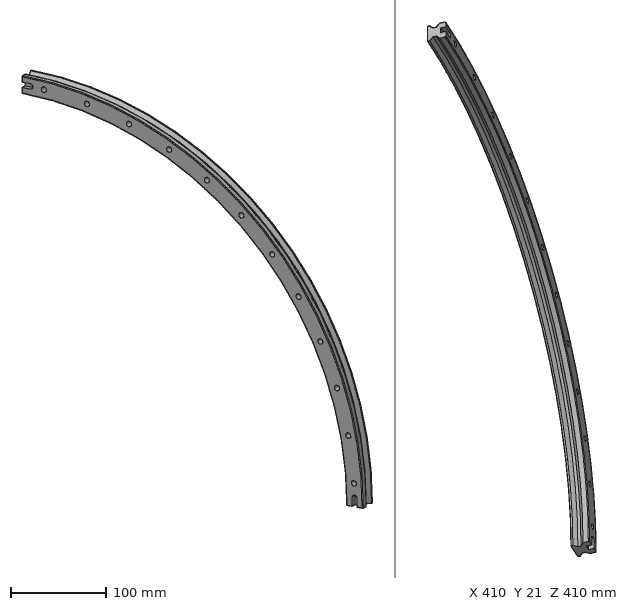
import cadquery as cq
import math

OUTER_RADIUS = 410.0
RAIL_WIDTH = 20.0
RAIL_HEIGHT = 21.0
SWEEP_ANGLE = 90.0
INNER_RADIUS = OUTER_RADIUS - RAIL_WIDTH
MID_RADIUS = OUTER_RADIUS - RAIL_WIDTH / 2
FRONT_CHAMFER = 1.0
BACK_CHAMFER = 0.5

GROOVE_CENTRE_Y = 12.75
GROOVE_FLAT = 3.5
GROOVE_DEPTH = 4.0
GROOVE_MOUTH = GROOVE_FLAT + 2 * GROOVE_DEPTH

HOLE_COUNT = 12
HOLE_DIAMETER = 6.0
HOLE_PITCH_ANGLE = SWEEP_ANGLE / HOLE_COUNT

SLOT_WIDTH = HOLE_DIAMETER
SLOT_LENGTH = 13.0
SLOT_DEPTH = 6.0


def side_points(edge_radius, inward):
    """Profile points of one grooved side, from the mounting face upwards.

    inward is the radial direction into the material: -1 or +1.
    """
    groove_radius = edge_radius + inward * GROOVE_DEPTH
    return [
        (edge_radius + inward * FRONT_CHAMFER, 0),
        (edge_radius, FRONT_CHAMFER),
        (edge_radius, GROOVE_CENTRE_Y - GROOVE_MOUTH / 2),
        (groove_radius, GROOVE_CENTRE_Y - GROOVE_FLAT / 2),
        (groove_radius, GROOVE_CENTRE_Y + GROOVE_FLAT / 2),
        (edge_radius, GROOVE_CENTRE_Y + GROOVE_MOUTH / 2),
        (edge_radius, RAIL_HEIGHT - BACK_CHAMFER),
        (edge_radius + inward * BACK_CHAMFER, RAIL_HEIGHT),
    ]


def make_rail():
    """Revolve the profile from the +X axis round to the +Z axis."""
    outer_side = side_points(OUTER_RADIUS, -1)
    inner_side = side_points(INNER_RADIUS, 1)
    profile = cq.Workplane("XY").polyline(outer_side + inner_side[::-1]).close()
    return profile.revolve(SWEEP_ANGLE, (0, 0, 0), (0, -1, 0))


def make_holes():
    """Through holes along the middle of the rail."""
    centres = []
    for index in range(HOLE_COUNT):
        angle = math.radians((index + 0.5) * HOLE_PITCH_ANGLE)
        centres.append((MID_RADIUS * math.cos(angle), MID_RADIUS * math.sin(angle)))
    plane = cq.Workplane("XZ")
    return plane.pushPoints(centres).circle(HOLE_DIAMETER / 2).extrude(-RAIL_HEIGHT)


def make_end_slot():
    """Round-ended slot at the end on the +X axis.

    It is centred on the end face, so half of it lies in the rail.
    """
    slot = cq.Workplane("XZ").center(MID_RADIUS, 0)
    return slot.slot2D(2 * SLOT_LENGTH, SLOT_WIDTH, 90).extrude(-SLOT_DEPTH)


lower_slot = make_end_slot()
upper_slot = lower_slot.rotate((0, 0, 0), (0, 1, 0), -SWEEP_ANGLE)
result = make_rail().cut(make_holes()).cut(lower_slot).cut(upper_slot)